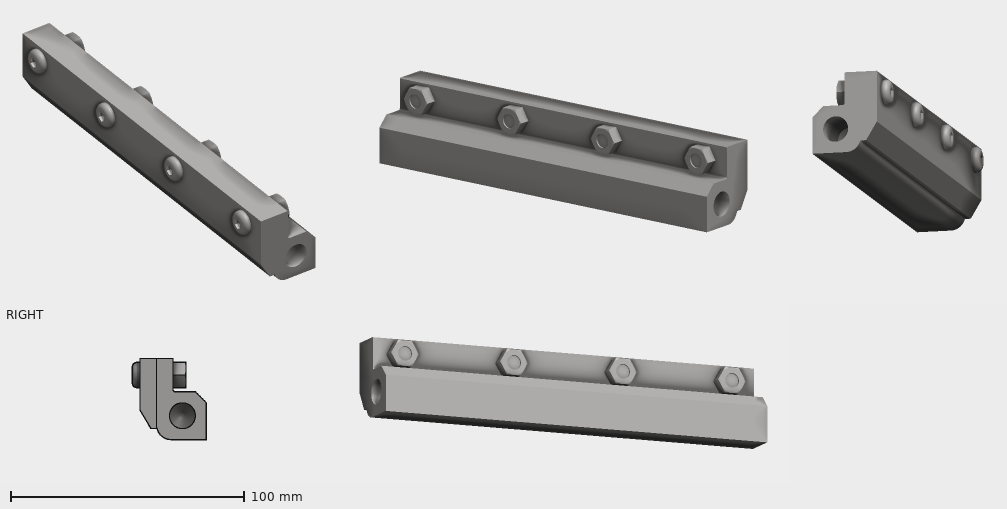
import cadquery as cq
import math


length = 177.8
height = 34.925
depth = 28.575
plate_thickness = 7.144
flange_thickness = plate_thickness

block_height = 20.638
block_chamfer = 4.763
bottom_radius = 6.35
inner_radius = 0.794
flange_edge_break = 0.254

plate_bottom = 4.763
plate_foot_thickness = 2.381
bevel_height = 7.938

end_hole_diameter = 11.113
end_hole_depth = 25.4
drill_point_angle = 118.0

screw_count = 4
screw_pitch = 50.8
screw_drop = 7.144
shank_diameter = 6.35
shank_length = 19.05
head_diameter = 11.1
head_height = 3.355
head_rim_height = 0.8
head_flat_diameter = 6.6
socket_width = 4.1
socket_depth = 2.2
socket_point_angle = 120.0
nut_width = 11.113
nut_thickness = 5.556
nut_chamfer_angle = 20.0

diagonal = math.sqrt(0.5)
hex_half_step = 30.0

joint_y = plate_thickness
flange_back_y = joint_y + flange_thickness
hole_y = depth - block_height / 2
hole_z = block_height / 2
screw_z = height - screw_drop
first_screw_x = (length - (screw_count - 1) * screw_pitch) / 2
screw_places = [first_screw_x + i * screw_pitch for i in range(screw_count)]


def across_corners(width):
    return width / math.cos(math.radians(hex_half_step))


def cone_height(radius, point_angle):
    return radius / math.tan(math.radians(point_angle / 2))


def shank_cylinders(from_y, distance):
    """Cylinders of shank diameter on all screw axes, running toward +Y."""
    centres = [(x, screw_z) for x in screw_places]
    plane = cq.Workplane("XZ", origin=(0, from_y, 0))
    return plane.pushPoints(centres).circle(shank_diameter / 2).extrude(-distance)


def end_hole_cutter():
    """Blind drilled hole entering the left end, with a conical bottom."""
    radius = end_hole_diameter / 2
    tip = end_hole_depth + cone_height(radius, drill_point_angle)
    half_section = (
        cq.Workplane("XY")
        .polyline([(0, 0), (0, radius), (end_hole_depth, radius), (tip, 0)])
        .close()
    )
    return half_section.revolve(360, (0, 0, 0), (1, 0, 0)).translate((0, hole_y, hole_z))


def make_bar():
    """Bar block with a flange along its front, drilled from both ends."""
    arc_offset = bottom_radius * (1 - diagonal)
    fillet_offset = inner_radius * (1 - diagonal)
    body = (
        cq.Workplane("YZ")
        .moveTo(depth, 0)
        .lineTo(depth, block_height - block_chamfer)
        .lineTo(depth - block_chamfer, block_height)
        .lineTo(flange_back_y + inner_radius, block_height)
        .threePointArc(
            (flange_back_y + fillet_offset, block_height + fillet_offset),
            (flange_back_y, block_height + inner_radius),
        )
        .lineTo(flange_back_y, height - flange_edge_break)
        .lineTo(flange_back_y - flange_edge_break, height)
        .lineTo(joint_y, height)
        .lineTo(joint_y, bottom_radius)
        .threePointArc(
            (joint_y + arc_offset, arc_offset),
            (joint_y + bottom_radius, 0),
        )
        .close()
        .extrude(length)
    )
    left_hole = end_hole_cutter()
    right_hole = left_hole.mirror("YZ", (length / 2, 0, 0))
    screw_holes = shank_cylinders(joint_y, flange_thickness)
    return body.cut(left_hole).cut(right_hole).cut(screw_holes)


def make_plate():
    """Flat clamp plate with its lower front edge bevelled."""
    body = (
        cq.Workplane("YZ")
        .moveTo(0, height)
        .lineTo(0, plate_bottom + bevel_height)
        .lineTo(joint_y - plate_foot_thickness, plate_bottom)
        .lineTo(joint_y, plate_bottom)
        .lineTo(joint_y, height)
        .close()
        .extrude(length)
    )
    return body.cut(shank_cylinders(0, plate_thickness))


def socket_cutter():
    """Hex socket with corners up and down, sunk from the head top to a conical bottom."""
    corners = across_corners(socket_width)
    top_y = -head_height
    hexagon = (
        cq.Workplane("XZ", origin=(0, top_y, 0))
        .transformed(rotate=(0, 0, hex_half_step))
        .polygon(6, corners)
        .extrude(-socket_depth)
    )
    floor_y = top_y + socket_depth
    radius = socket_width / 2
    tip_y = floor_y + cone_height(radius, socket_point_angle)
    point = (
        cq.Workplane("XY")
        .polyline([(0, floor_y), (radius, floor_y), (0, tip_y)])
        .close()
        .revolve(360, (0, 0, 0), (0, 1, 0))
    )
    return hexagon.union(point)


def make_screw(x):
    """Button head screw, seated on the plate front and reaching into the nut."""
    head_radius = head_diameter / 2
    flat_radius = head_flat_diameter / 2
    shank_radius = shank_diameter / 2
    dome_radius = head_radius - flat_radius
    dome_height = head_height - head_rim_height
    dome_middle = (
        flat_radius + dome_radius * diagonal,
        -head_rim_height - dome_height * diagonal,
    )
    body = (
        cq.Workplane("XY")
        .moveTo(0, -head_height)
        .lineTo(flat_radius, -head_height)
        .threePointArc(dome_middle, (head_radius, -head_rim_height))
        .lineTo(head_radius, 0)
        .lineTo(shank_radius, 0)
        .lineTo(shank_radius, shank_length)
        .lineTo(0, shank_length)
        .close()
        .revolve(360, (0, 0, 0), (0, 1, 0))
    )
    return body.cut(socket_cutter()).translate((x, 0, screw_z))


def make_nut(x):
    """Hex nut with flats up and down, corners chamfered on the back face."""
    flat_radius = nut_width / 2
    corner_radius = across_corners(nut_width) / 2
    chamfer = (corner_radius - flat_radius) * math.tan(math.radians(nut_chamfer_angle))
    hexagon = (
        cq.Workplane("XZ")
        .polygon(6, 2 * corner_radius)
        .circle(shank_diameter / 2)
        .extrude(-nut_thickness)
    )
    corner_envelope = (
        cq.Workplane("XY")
        .moveTo(0, 0)
        .lineTo(corner_radius, 0)
        .lineTo(corner_radius, nut_thickness - chamfer)
        .lineTo(flat_radius, nut_thickness)
        .lineTo(0, nut_thickness)
        .close()
        .revolve(360, (0, 0, 0), (0, 1, 0))
    )
    return hexagon.intersect(corner_envelope).translate((x, flange_back_y, screw_z))


bar = make_bar()
plate = make_plate()
screws = [make_screw(x).val() for x in screw_places]
nuts = [make_nut(x).val() for x in screw_places]

result = cq.Compound.makeCompound([bar.val(), plate.val(), *screws, *nuts])